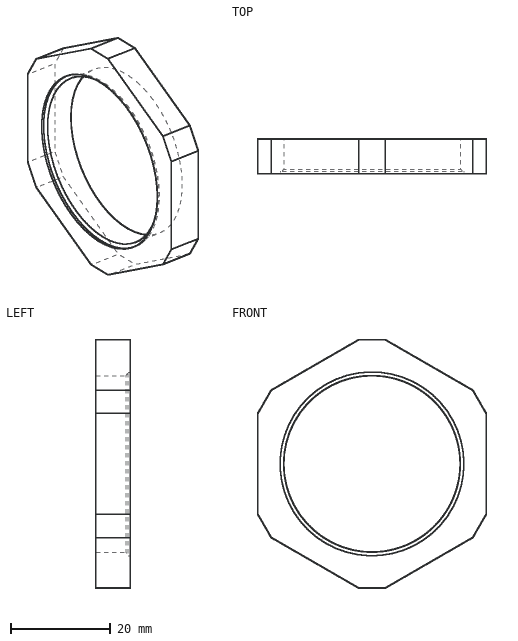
import cadquery as cq
import math

corner_height = 50.0
across_flats = 46.0
thickness = 7.0
bore_diameter = 35.5
recess_diameter = 37.0
recess_depth = 0.5
cone_slope = 30

sharp_corner_diameter = across_flats / math.cos(math.radians(30))


def hexagonal_prism(circumscribed_diameter, corner_angle):
    """Hexagonal prism centred on the Y axis, with one corner turned by corner_angle from +X."""
    return (
        cq.Workplane("XZ")
        .transformed(rotate=(0, 0, corner_angle))
        .polygon(6, circumscribed_diameter)
        .extrude(thickness / 2, both=True)
    )


corner_cutter_diameter = corner_height / math.cos(math.radians(30))
body = hexagonal_prism(sharp_corner_diameter, 30).intersect(
    hexagonal_prism(corner_cutter_diameter, 0)
)

bored = body.faces("<Y").workplane(centerOption="CenterOfBoundBox").hole(bore_diameter)

bore_radius = bore_diameter / 2
recess_radius = recess_diameter / 2
cone_depth = (recess_radius - bore_radius) * math.tan(math.radians(cone_slope))
front_y = -thickness / 2
cone_start_y = front_y + recess_depth
cone_end_y = cone_start_y + cone_depth
recess = (
    cq.Workplane("XY")
    .moveTo(0, front_y)
    .lineTo(recess_radius, front_y)
    .lineTo(recess_radius, cone_start_y)
    .lineTo(bore_radius, cone_end_y)
    .lineTo(0, cone_end_y)
    .close()
    .revolve(360, (0, 0, 0), (0, 1, 0))
)
result = bored.cut(recess)